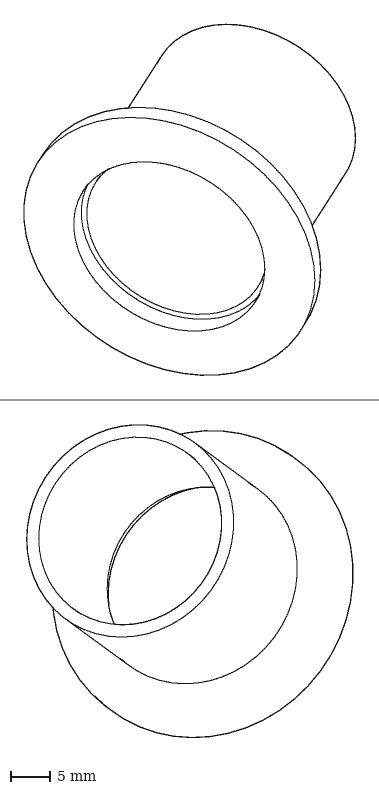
import cadquery as cq
import math

flange_radius = 20.0
total_length = 30.0
tube_radius = 14.0
bore_radius = 12.35

recess_radius = 13.1
recess_depth = 2.7

cone_angle = math.radians(15)
cone_end = 4.6
rim_round = 1.5

round_sweep = math.pi / 2 - cone_angle
round_center_radius = flange_radius - rim_round


def round_point(angle, center_y):
    """Point (radius, Y) on the rim round, measured from the radial direction."""
    return (
        round_center_radius + rim_round * math.cos(angle),
        center_y + rim_round * math.sin(angle),
    )


cone_outer_radius = round_center_radius + rim_round * math.cos(round_sweep)
cone_start = cone_end - (cone_outer_radius - tube_radius) * math.tan(cone_angle)
rim_height = cone_start - rim_round * math.sin(round_sweep)


def make_body():
    """Revolve the outer outline of the flange and tube into a solid."""
    outline = (
        cq.Workplane("XY")
        .lineTo(flange_radius, 0)
        .lineTo(flange_radius, rim_height)
        .threePointArc(
            round_point(round_sweep / 2, rim_height),
            round_point(round_sweep, rim_height),
        )
        .lineTo(tube_radius, cone_end)
        .lineTo(tube_radius, total_length)
        .lineTo(0, total_length)
        .close()
    )
    return outline.revolve(360, (0, 0, 0), (0, 1, 0))


def make_cutter(radius, depth):
    """Cylinder reaching from the flange face into the part along +Y."""
    return cq.Workplane("XZ").circle(radius).extrude(-depth)


bore = make_cutter(bore_radius, total_length)
recess = make_cutter(recess_radius, recess_depth)
result = make_body().cut(bore).cut(recess)